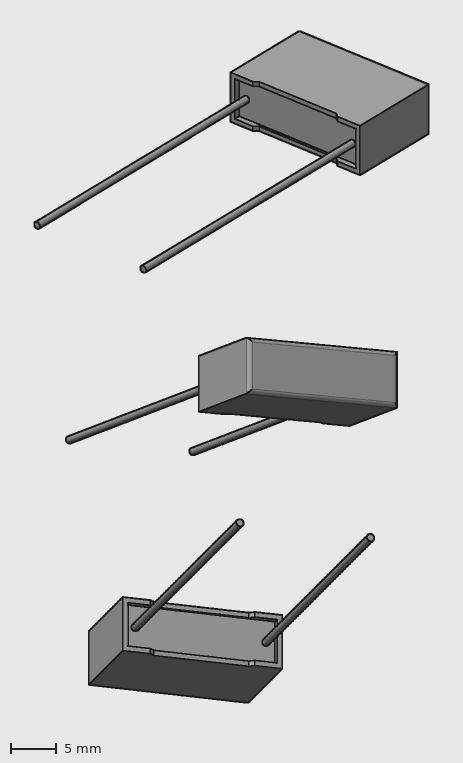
import cadquery as cq


case_width = 18.3
case_length = 12.1
case_height = 6.21
wall = 0.6
back_edge_radius = 0.5

relief_depth = 0.42
relief_mouth_width = 12.0
relief_floor_width = 10.9

resin_recess = 0.75
resin_width = case_width - 2 * wall
resin_height = case_height - 2 * wall
resin_length = case_length - wall - resin_recess

total_length = 47.1
lead_diameter = 0.85
lead_pitch = 15.0
lead_tip_y = case_length - total_length
lead_length = resin_recess - lead_tip_y


def block_along_y(width, height, start_y, length):
    """Block centred on X and Z that runs from start_y towards +Y."""
    return cq.Workplane("XY").box(width, length, height).translate((0, start_y + length / 2, 0))


def make_rim_relief():
    """Trapezoidal cutter that passes through both broad walls."""
    return (
        cq.Workplane("XY")
        .moveTo(-relief_mouth_width / 2, 0)
        .lineTo(relief_mouth_width / 2, 0)
        .lineTo(relief_floor_width / 2, relief_depth)
        .lineTo(-relief_floor_width / 2, relief_depth)
        .close()
        .extrude(case_height / 2, both=True)
    )


def make_case():
    """Cup with a rounded closed end and a relieved rim."""
    shell = block_along_y(case_width, case_height, 0, case_length)
    shell = shell.faces(">Y").edges().fillet(back_edge_radius)
    cavity = block_along_y(resin_width, resin_height, 0, case_length - wall)
    return shell.cut(cavity).cut(make_rim_relief())


def make_resin():
    """Filling that takes up the cavity to just below the rim."""
    return block_along_y(resin_width, resin_height, resin_recess, resin_length)


def make_lead(x):
    """Straight round wire that ends on the face of the resin."""
    lead = cq.Workplane("XZ").circle(lead_diameter / 2).extrude(lead_length)
    return lead.translate((x, resin_recess, 0))


case = make_case()
resin = make_resin()
leads = [make_lead(side * lead_pitch / 2) for side in (-1, 1)]

result = cq.Compound.makeCompound([case.val(), resin.val(), *[lead.val() for lead in leads]])